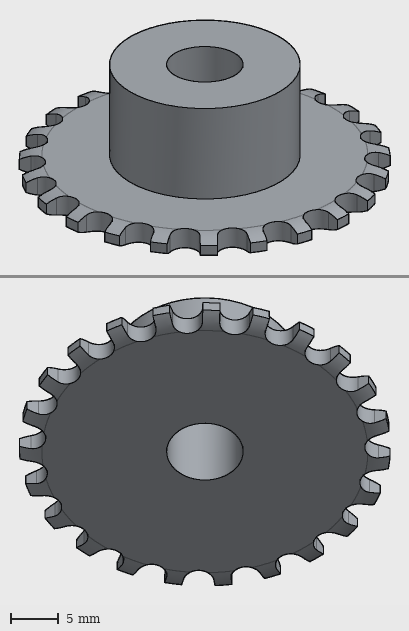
import cadquery as cq
import math

tooth_count = 23
chain_pitch = 5.0
roller_seat_radius = 1.6
tip_radius = 19.45
plate_thickness = 2.3

bevel_start_radius = 17.07
bevel_drop = 0.565

total_height = 13.0
hub_diameter = 20.0
bore_diameter = 8.0

pitch_radius = chain_pitch / (2 * math.sin(math.pi / tooth_count))
root_radius = pitch_radius - roller_seat_radius
gap_angle = 360 / tooth_count
first_gap_angle = 90 + gap_angle / 2


def toothed_blank():
    """Disc whose rim curves in on both faces, by arcs tangent to the faces."""
    bevel_width = tip_radius - bevel_start_radius
    arc_radius = (bevel_width**2 + bevel_drop**2) / (2 * bevel_drop)
    mid_angle = math.asin(bevel_width / arc_radius) / 2
    mid_radius = bevel_start_radius + arc_radius * math.sin(mid_angle)
    mid_drop = arc_radius * (1 - math.cos(mid_angle))
    return (
        cq.Workplane("XZ")
        .lineTo(bevel_start_radius, 0)
        .threePointArc((mid_radius, mid_drop), (tip_radius, bevel_drop))
        .lineTo(tip_radius, plate_thickness - bevel_drop)
        .threePointArc(
            (mid_radius, plate_thickness - mid_drop),
            (bevel_start_radius, plate_thickness),
        )
        .lineTo(0, plate_thickness)
        .close()
        .revolve(360, (0, 0, 0), (0, 1, 0))
    )


def tooth_gap():
    """Cutter on +X: round roller seat, then straight flanks tangent to it.

    Each flank leans out by half the gap angle, so every tooth has parallel sides.
    """
    cutter_overrun = 0.4
    flank_lean = math.radians(gap_angle / 2)
    seat_end_x = pitch_radius - roller_seat_radius * math.sin(flank_lean)
    seat_end_y = roller_seat_radius * math.cos(flank_lean)
    outer_x = tip_radius + cutter_overrun
    outer_y = seat_end_y + (outer_x - seat_end_x) * math.tan(flank_lean)
    return (
        cq.Workplane("XY")
        .moveTo(outer_x, -outer_y)
        .lineTo(seat_end_x, -seat_end_y)
        .threePointArc((root_radius, 0), (seat_end_x, seat_end_y))
        .lineTo(outer_x, outer_y)
        .close()
        .extrude(plate_thickness)
    )


sprocket = toothed_blank()
gap = tooth_gap()
for index in range(tooth_count):
    angle = first_gap_angle + index * gap_angle
    sprocket = sprocket.cut(gap.rotate((0, 0, 0), (0, 0, 1), angle))

hub = cq.Workplane("XY").circle(hub_diameter / 2).extrude(total_height)
sprocket = sprocket.union(hub)

bore = cq.Workplane("XY").circle(bore_diameter / 2).extrude(total_height)
result = sprocket.cut(bore)